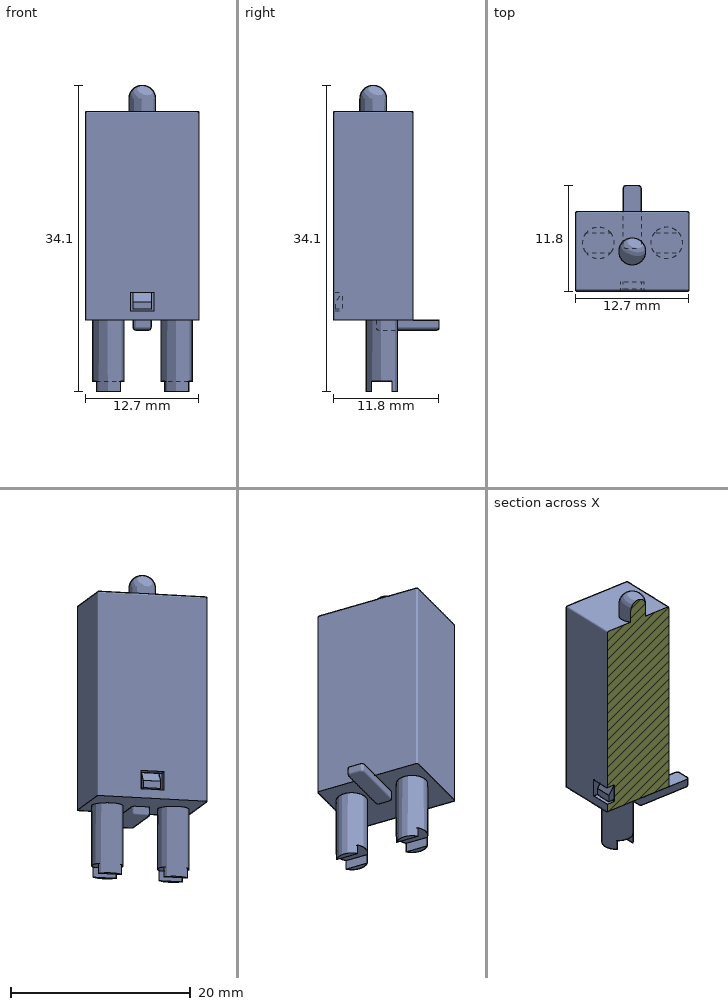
import cadquery as cq

total_height = 34.1
body_width = 12.7
body_depth = 8.9
body_height = 23.25
body_edge_radius = 0.25

lamp_diameter = 3.0
lamp_height = 2.9

pin_diameter = 3.5
pin_length = total_height - body_height - lamp_height
pin_spacing = 7.6
pin_shift_x = 0.05
pin_y = 0.95
slot_width = 2.25
slot_height = 1.13

tab_width = 2.0
tab_thickness = 1.13
tab_overhang = 2.9
tab_front_y = 0.35
tab_edge_radius = 0.35

window_width = 2.65
window_height = 2.08
window_rise = 1.02
window_depth = 1.02
latch_recess = 0.27
latch_bottom_gap = 0.2
latch_face_height = 0.82
latch_top_gap = 0.05

body_bottom = pin_length
body_top = body_bottom + body_height
front_y = -body_depth / 2
back_y = body_depth / 2


def make_body():
    """Housing block with rounded vertical and top edges."""
    block = cq.Workplane("XY", origin=(0, 0, body_bottom)).box(
        body_width, body_depth, body_height, centered=(True, True, False)
    )
    return block.edges("|Z or >Z").fillet(body_edge_radius)


def make_lamp():
    """Round lamp whose upper end is a hemisphere."""
    radius = lamp_diameter / 2
    lamp = cq.Workplane("XY", origin=(0, 0, body_top)).circle(radius).extrude(lamp_height - radius)
    dome = cq.Workplane("XY", origin=(0, 0, total_height - radius)).sphere(radius)
    return lamp.union(dome)


def make_pin(x):
    """Round pin with a slot across its lower end, running along X."""
    pin = cq.Workplane("XY", origin=(x, pin_y, 0)).circle(pin_diameter / 2).extrude(pin_length)
    slot = cq.Workplane("XY", origin=(x, pin_y, 0)).box(
        pin_diameter, slot_width, slot_height, centered=(True, True, False)
    )
    return pin.cut(slot)


def make_tab():
    """Flat key against the underside, with rounded side, end and bottom edges."""
    length = back_y + tab_overhang - tab_front_y
    tab = cq.Workplane("XY", origin=(0, tab_front_y, body_bottom - tab_thickness)).box(
        tab_width, length, tab_thickness, centered=(True, False, False)
    )
    return tab.edges("|Z or <Z").fillet(tab_edge_radius)


def make_window():
    """Rectangular pocket cut into the front face."""
    return cq.Workplane("XY", origin=(0, front_y, body_bottom + window_rise)).box(
        window_width, window_depth, window_height, centered=(True, False, False)
    )


def make_latch():
    """Wedge inside the window: an upright face below and a ramp leaning back above."""
    face_y = front_y + latch_recess
    rear_y = front_y + window_depth
    bottom = body_bottom + window_rise + latch_bottom_gap
    top = body_bottom + window_rise + window_height - latch_top_gap
    profile = [
        (face_y, bottom),
        (face_y, bottom + latch_face_height),
        (rear_y, top),
        (rear_y, bottom),
    ]
    return cq.Workplane("YZ").polyline(profile).close().extrude(tab_width / 2, both=True)


result = make_body().cut(make_window()).union(make_latch())
result = result.union(make_lamp()).union(make_tab())
for side in (-1, 1):
    result = result.union(make_pin(pin_shift_x + side * pin_spacing / 2))